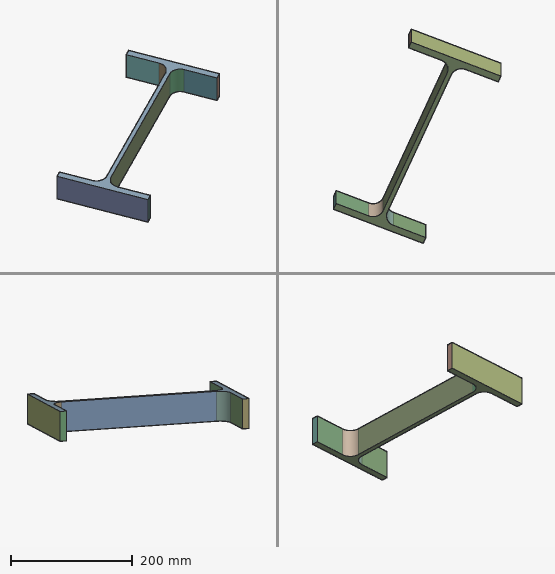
import cadquery as cq

beam_depth = 330.0
flange_width = 160.0
beam_length = 50.0
web_thickness = 7.5
flange_thickness = 11.5
root_radius = 18.0

web_height = beam_depth - 2 * flange_thickness
flange_offset = (beam_depth - flange_thickness) / 2

web = cq.Workplane("XY").box(web_thickness, web_height, beam_length)
flanges = (
    cq.Workplane("XY")
    .pushPoints([(0, -flange_offset), (0, flange_offset)])
    .box(flange_width, flange_thickness, beam_length)
)
beam = web.union(flanges)

root_edges = cq.selectors.BoxSelector(
    (-web_thickness, -web_height / 2 - root_radius, -beam_length),
    (web_thickness, web_height / 2 + root_radius, beam_length),
)
result = beam.edges("|Z").edges(root_edges).fillet(root_radius)